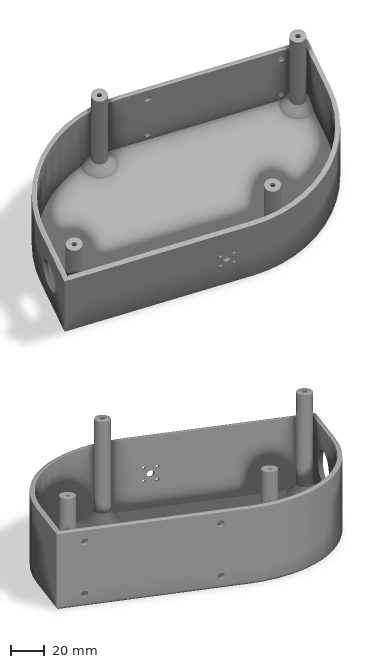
import cadquery as cq
import math

width = 120.0
length = 200.0
tray_height = 50.0
corner_radius = 80.0
wall = 3.0
floor = 3.0
bottom_round = 2.0

slope_width = 2.0
slope_drop = 0.5

post_top = 69.0
post_diameter = 10.0
post_inset = 10.0
post_spacing = 126.0
foot_diameter = 22.0
foot_height = 6.0
bore_diameter = 3.2
bore_depth = 20.0
drill_angle = 118

cable_diameter = 21.0
cable_x = 95.0
cable_z = tray_height / 2

mount_diameter = 4.5
mount_center_y = 140.0
mount_center_z = tray_height / 2
mount_pitch_y = 85.0
mount_pitch_z = 34.0

vent_diameter = 5.0
satellite_diameter = 2.5
satellite_pitch = 8.5
vent_y = 103.5
vent_z = tray_height / 2

post_points = [
    (post_inset, length - post_inset),
    (post_inset, length - post_inset - post_spacing),
    (width - post_inset, post_inset),
    (width - post_inset, post_inset + post_spacing),
]


def leaf_outline(work, inset):
    """Tray outline moved inward, square at two opposite corners and round at the others."""
    radius = corner_radius - inset
    left = inset
    right = width - inset
    front = inset
    back = length - inset
    return (
        work.moveTo(right, front)
        .lineTo(right, back - radius)
        .radiusArc((right - radius, back), -radius)
        .lineTo(left, back)
        .lineTo(left, front + radius)
        .radiusArc((left + radius, front), -radius)
        .close()
    )


def leaf_prism(inset, bottom, top):
    """Upright prism on the tray outline moved inward."""
    return leaf_outline(cq.Workplane("XY", origin=(0, 0, bottom)), inset).extrude(top - bottom)


def make_tray():
    """Open tray with a rounded bottom edge and a rim sloping down to the outside."""
    slope_bottom = tray_height - slope_drop
    body = leaf_prism(0, 0, slope_bottom).faces("<Z").edges().fillet(bottom_round)
    slope_base = leaf_outline(cq.Workplane("XY", origin=(0, 0, slope_bottom)), 0)
    slope = leaf_outline(slope_base.workplane(offset=slope_drop), slope_width).loft(ruled=True)
    cavity = leaf_prism(wall, floor, tray_height)
    return body.union(slope).cut(cavity)


def make_posts():
    """Posts and feet, with the feet trimmed to the inside of the walls."""
    posts = (
        cq.Workplane("XY", origin=(0, 0, floor))
        .pushPoints(post_points)
        .circle(post_diameter / 2)
        .extrude(post_top - floor)
    )
    for x, y in post_points:
        foot = cq.Solid.makeCone(
            foot_diameter / 2, post_diameter / 2, foot_height, pnt=cq.Vector(x, y, floor)
        )
        posts = posts.union(cq.Workplane(foot))
    return posts.intersect(leaf_prism(wall, floor, post_top))


def make_bores():
    """Blind screw bores in the post tops, each ending in a drill point."""
    radius = bore_diameter / 2
    tip_depth = radius / math.tan(math.radians(drill_angle / 2))
    bore = (
        cq.Workplane("XZ")
        .moveTo(0, 0)
        .lineTo(radius, 0)
        .lineTo(radius, -bore_depth)
        .lineTo(0, -bore_depth - tip_depth)
        .close()
        .revolve(360, (0, 0, 0), (0, 1, 0))
        .val()
    )
    bores = [bore.moved(cq.Location(cq.Vector(x, y, post_top))) for x, y in post_points]
    return cq.Workplane(cq.Compound.makeCompound(bores))


def side_holes(x, y, z, diameter, pitch_y, pitch_z):
    """Four cutters along X, on a rectangle centred at y, z and passing one wall."""
    return (
        cq.Workplane("YZ", origin=(x, y, z))
        .rect(pitch_y, pitch_z, forConstruction=True)
        .vertices()
        .circle(diameter / 2)
        .extrude(wall)
    )


def make_cable_opening():
    return (
        cq.Workplane("XZ", origin=(cable_x, wall, cable_z))
        .circle(cable_diameter / 2)
        .extrude(wall)
    )


def make_mount_holes():
    return side_holes(0, mount_center_y, mount_center_z, mount_diameter, mount_pitch_y, mount_pitch_z)


def make_vent():
    inner_face = width - wall
    center = (
        cq.Workplane("YZ", origin=(inner_face, vent_y, vent_z))
        .circle(vent_diameter / 2)
        .extrude(wall)
    )
    satellites = side_holes(
        inner_face, vent_y, vent_z, satellite_diameter, satellite_pitch, satellite_pitch
    )
    return center.union(satellites)


result = (
    make_tray()
    .union(make_posts())
    .cut(make_bores())
    .cut(make_cable_opening())
    .cut(make_mount_holes())
    .cut(make_vent())
)